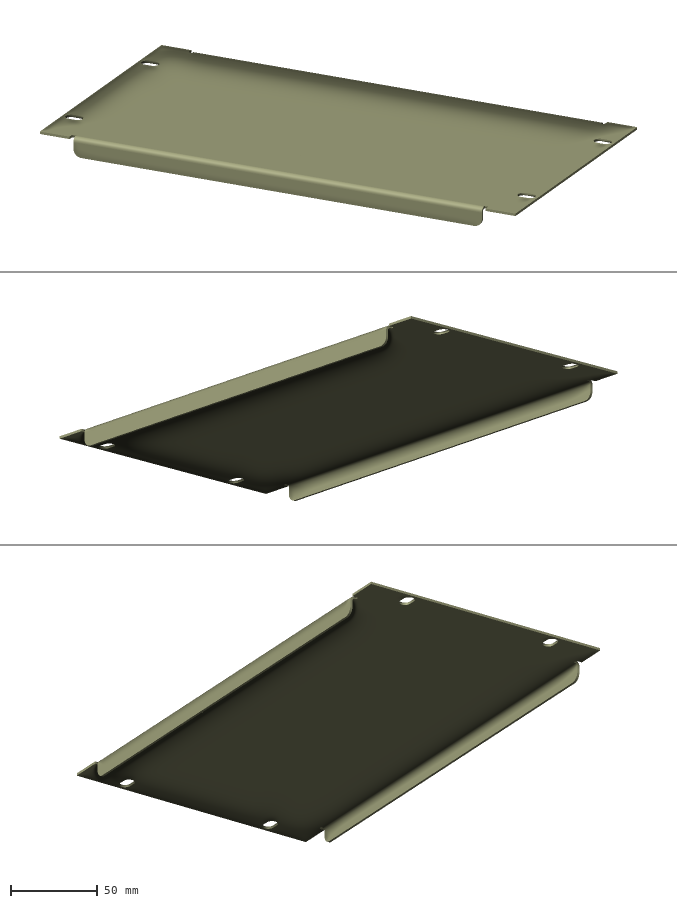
import cadquery as cq

length = 308.0
width = 160.0
height = 12.0
thickness = 1.5

flange_length = 264.5
bend_radius = 3.0
inner_bend_radius = bend_radius - thickness
flange_corner_radius = 5.0

relief_width = 2.5
relief_depth = 4.0
relief_corner_radius = 1.5

slot_length = 11.0
slot_width = 7.0
slot_spacing_x = 293.0
slot_spacing_y = 100.0

half_width = width / 2
flange_end = flange_length / 2


def make_plate():
    """Flat rectangular sheet."""
    return cq.Workplane("XY").rect(length, width).extrude(-thickness)


def make_slots():
    """Four mounting slots, long along X."""
    return (
        cq.Workplane("XY")
        .rect(slot_spacing_x, slot_spacing_y, forConstruction=True)
        .vertices()
        .slot2D(slot_length, slot_width)
        .extrude(-thickness)
    )


def make_edge_cutter():
    """Strip along the +Y edge that makes room for the bend, plus a relief notch at each end."""
    strip = (
        cq.Workplane("XY")
        .center(0, half_width - bend_radius / 2)
        .rect(flange_length, bend_radius)
        .extrude(-thickness)
    )
    notch_x = flange_end + relief_width / 2
    notch_y = half_width - relief_depth / 2
    notches = (
        cq.Workplane("XY")
        .pushPoints([(-notch_x, notch_y), (notch_x, notch_y)])
        .rect(relief_width, relief_depth)
        .extrude(-thickness)
    )
    outer_corners = notches.edges("|Z").edges("<X or >X").edges("<Y")
    return strip.union(outer_corners.fillet(relief_corner_radius))


def make_flange():
    """Bend and downward flange along the +Y edge, with rounded lower corners."""
    bend_start = half_width - bend_radius
    inner_face = half_width - thickness
    flange = (
        cq.Workplane("YZ")
        .moveTo(bend_start, 0)
        .radiusArc((half_width, -bend_radius), bend_radius)
        .lineTo(half_width, -height)
        .lineTo(inner_face, -height)
        .lineTo(inner_face, -bend_radius)
        .radiusArc((bend_start, -thickness), -inner_bend_radius)
        .close()
        .extrude(flange_end, both=True)
    )
    return flange.edges("|Y").edges("<Z").fillet(flange_corner_radius)


result = make_plate().cut(make_slots())
edge_cutter = make_edge_cutter()
flange = make_flange()
for turn in (0, 180):
    result = result.cut(edge_cutter.rotate((0, 0, 0), (0, 0, 1), turn))
    result = result.union(flange.rotate((0, 0, 0), (0, 0, 1), turn))